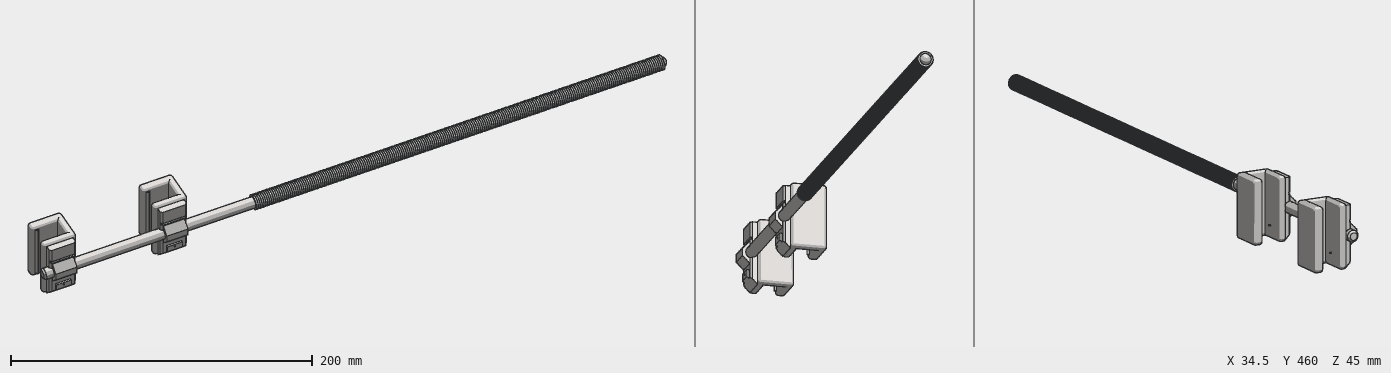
import cadquery as cq
import math


rod_length = 460.0
rod_radius = 4.0
rod_end_chamfer = 1.5

sleeve_start = 155.5
sleeve_end = 457.0
sleeve_wall = 1.3
sleeve_radius = rod_radius + sleeve_wall
rib_count = 108
groove_depth = 0.5

clamp_count = 2
clamp_spacing = 82.0
clamp_near_y = 2.5
clamp_width = 34.5
lug_wall = 2.2
lug_outer_x = rod_radius + lug_wall

housing_length = 25.0
housing_height = 45.0
housing_left_x = lug_outer_x - clamp_width
housing_right_x = -3.5
left_leg_thickness = 7.0
slot_left_x = housing_left_x + left_leg_thickness
slot_right_x = -9.0
web_thickness = 5.5
edge_radius = 2.5

lip_height = 1.5
lip_length = 2.8
lip_end_gap = 2.8

plate_length = 19.5
plate_top = 20.5
plate_bottom = -22.5
plate_outer_x = 1.15
plate_chamfer = 1.5
lug_flat_height = 5.5
lug_length = 15.5
slit_bottom = 8.7
slit_top = 10.0
slit_depth = 1.5
pad_outer_x = 2.55
pad_length = 11.0
pad_top = -11.5

pin_radius = 0.5
pin_z = -13.5
pin_protrusion = 1.0


def box_between(x_range, y_range, z_range):
    sizes = [high - low for low, high in (x_range, y_range, z_range)]
    corner = (x_range[0], y_range[0], z_range[0])
    return cq.Workplane("XY").box(*sizes, centered=False).translate(corner)


def make_rod():
    """Round bar with a chamfered near end and a domed far end."""
    shoulder_y = rod_length - rod_radius
    dome_x = rod_radius * math.sin(math.pi / 4)
    dome_y = shoulder_y + rod_radius * math.cos(math.pi / 4)
    return (
        cq.Workplane("XY")
        .lineTo(rod_radius - rod_end_chamfer, 0)
        .lineTo(rod_radius, rod_end_chamfer)
        .lineTo(rod_radius, shoulder_y)
        .threePointArc((dome_x, dome_y), (0, rod_length))
        .close()
        .revolve(360, (0, 0, 0), (0, 1, 0))
    )


def make_sleeve(rod):
    """Tube on the rod with evenly spaced square ribs."""
    groove_radius = sleeve_radius - groove_depth
    rib_length = (sleeve_end - sleeve_start) / (2 * rib_count - 1)
    outline = [(0, sleeve_start)]
    for index in range(rib_count):
        rib_start = sleeve_start + 2 * index * rib_length
        rib_end = rib_start + rib_length
        if index > 0:
            outline.append((groove_radius, rib_start))
        outline.append((sleeve_radius, rib_start))
        outline.append((sleeve_radius, rib_end))
        if index < rib_count - 1:
            outline.append((groove_radius, rib_end))
    outline.append((0, sleeve_end))
    tube = cq.Workplane("XY").polyline(outline).close().revolve(360, (0, 0, 0), (0, 1, 0))
    return tube.cut(rod)


def make_pin():
    """Round pin whose tip stands out into the housing slot."""
    pin_length = pad_outer_x - slot_right_x + pin_protrusion
    return (
        cq.Workplane("YZ", origin=(slot_right_x - pin_protrusion, housing_length / 2, pin_z))
        .circle(pin_radius)
        .extrude(pin_length)
    )


def make_rod_hole():
    """Bore that runs along the rod through one clamp."""
    return cq.Workplane("XZ").circle(rod_radius).extrude(-housing_length)


def make_housing(pin):
    """Channel with rounded outer and slot edges and a lip along its left leg."""
    half_height = housing_height / 2
    block = box_between(
        (housing_left_x, housing_right_x), (0, housing_length), (-half_height, half_height)
    )
    web_y = housing_length - web_thickness
    slot = box_between((slot_left_x, slot_right_x), (0, web_y), (-half_height, half_height))
    rounded_edges = "#Z or <X or >X or <Y"
    body = block.cut(slot).edges(rounded_edges).fillet(edge_radius)
    lip_half_height = half_height - edge_radius
    lip = (
        cq.Workplane("XY", origin=(0, 0, -lip_half_height))
        .polyline([
            (slot_left_x, lip_end_gap),
            (slot_left_x + lip_height, lip_end_gap + lip_length / 2),
            (slot_left_x, lip_end_gap + lip_length),
        ])
        .close()
        .extrude(2 * lip_half_height)
    )
    return body.union(lip).cut(make_rod_hole()).cut(pin)


def clip_prism(outline, length):
    """Outline in the XZ plane extruded along Y about the middle of the clamp."""
    return (
        cq.Workplane("XZ", origin=(0, housing_length / 2, 0))
        .polyline(outline)
        .close()
        .extrude(length / 2, both=True)
    )


def make_clip(pin):
    """Plate and lug around the rod, with a latch slit above and a sloped pad below."""
    plate_slope = plate_outer_x - housing_right_x
    plate = clip_prism(
        [
            (housing_right_x, plate_top),
            (plate_outer_x, plate_top),
            (plate_outer_x, plate_bottom + plate_slope),
            (housing_right_x, plate_bottom),
        ],
        plate_length,
    ).edges("|Z and >X").chamfer(plate_chamfer)
    lug_slope = lug_outer_x - housing_right_x
    lug_half_flat = lug_flat_height / 2
    lug = clip_prism(
        [
            (housing_right_x, lug_half_flat + lug_slope),
            (lug_outer_x, lug_half_flat),
            (lug_outer_x, -lug_half_flat),
            (housing_right_x, -lug_half_flat - lug_slope),
        ],
        lug_length,
    )
    pad_slope = pad_outer_x - housing_right_x
    pad = clip_prism(
        [
            (housing_right_x, pad_top),
            (pad_outer_x, pad_top),
            (pad_outer_x, plate_bottom + pad_slope),
            (housing_right_x, plate_bottom),
        ],
        pad_length,
    )
    slit = box_between(
        (plate_outer_x - slit_depth, plate_outer_x), (0, housing_length), (slit_bottom, slit_top)
    )
    return plate.union(lug).union(pad).cut(slit).cut(make_rod_hole()).cut(pin)


rod = make_rod()
sleeve = make_sleeve(rod)
pin = make_pin()
housing = make_housing(pin)
clip = make_clip(pin)

solids = [rod.val(), sleeve.val()]
for index in range(clamp_count):
    clamp_place = (0, clamp_near_y + index * clamp_spacing, 0)
    for body in (housing, clip, pin):
        solids.append(body.translate(clamp_place).val())

result = cq.Compound.makeCompound(solids)